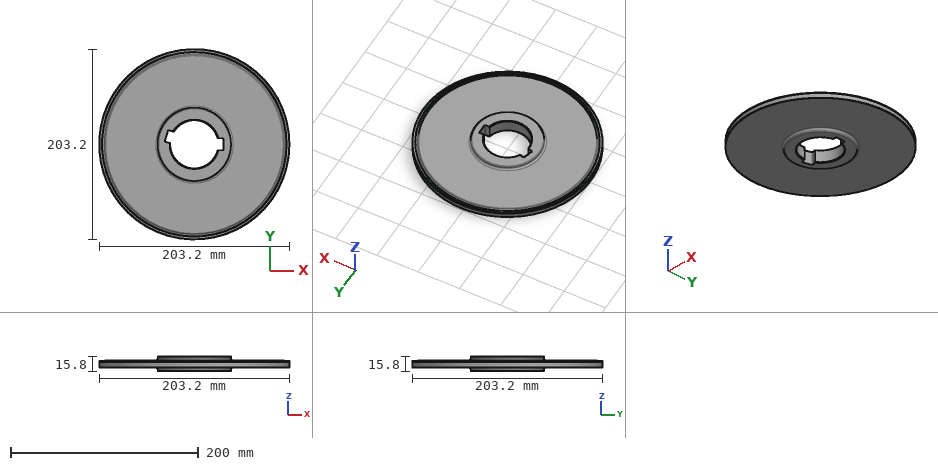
import cadquery as cq

OUTER_DIAMETER = 203.2
RAISED_FOOT_DIAMETER = 193.2
DISC_BOTTOM = -4.0
SHOULDER_HEIGHT = 1.8
FACE_HEIGHT = 3.7
FACE_COVE = 1.0
FACE_ROUND = FACE_HEIGHT - SHOULDER_HEIGHT - FACE_COVE

RIM_MOUTH_DIAMETER = 197.1
RIM_TOP = 3.0
EDGE_CHAMFER = 0.5
RIM_INNER_DIAMETER = RIM_MOUTH_DIAMETER - 2 * EDGE_CHAMFER

HUB_HEIGHT = 15.8
HUB_TOP = HUB_HEIGHT / 2
HUB_DIAMETER = 78.5
HUB_ROUND = 1.0
HUB_COVE = 2.0

BORE_DIAMETER = 51.2
BORE_CHAMFER = 0.8
KEYWAY_WIDTH = 12.5
KEYWAY_REACH = 30.9
KEYWAY_CORNER = 0.8
KEYWAY_ANGLES = (0, 163)


def cylinder(diameter, bottom, top):
    """Upright cylinder on the Z axis between two heights."""
    return cq.Workplane("XY").workplane(offset=bottom).circle(diameter / 2).extrude(top - bottom)


def arc_midpoint(center, radius, x_sign, z_sign):
    """Middle of a quarter arc lying in the given quadrant around its centre."""
    offset = radius * 0.5 ** 0.5
    return (center[0] + x_sign * offset, center[1] + z_sign * offset)


def make_blank():
    """Disc, raised face and hub revolved from one half section."""
    outer_radius = OUTER_DIAMETER / 2
    foot_radius = RAISED_FOOT_DIAMETER / 2
    wall_radius = foot_radius - FACE_COVE
    face_radius = wall_radius - FACE_ROUND
    wall_height = SHOULDER_HEIGHT + FACE_COVE
    hub_radius = HUB_DIAMETER / 2
    hub_foot = hub_radius + HUB_COVE
    hub_face = hub_radius - HUB_ROUND

    face_cove_center = (foot_radius, wall_height)
    face_round_center = (face_radius, wall_height)
    top_cove_center = (hub_foot, FACE_HEIGHT + HUB_COVE)
    top_round_center = (hub_face, HUB_TOP - HUB_ROUND)
    bottom_round_center = (hub_face, HUB_ROUND - HUB_TOP)
    bottom_cove_center = (hub_foot, DISC_BOTTOM - HUB_COVE)

    return (
        cq.Workplane("XZ")
        .moveTo(0, -HUB_TOP)
        .lineTo(hub_face, -HUB_TOP)
        .threePointArc(arc_midpoint(bottom_round_center, HUB_ROUND, 1, -1), (hub_radius, HUB_ROUND - HUB_TOP))
        .lineTo(hub_radius, DISC_BOTTOM - HUB_COVE)
        .threePointArc(arc_midpoint(bottom_cove_center, HUB_COVE, -1, 1), (hub_foot, DISC_BOTTOM))
        .lineTo(outer_radius - EDGE_CHAMFER, DISC_BOTTOM)
        .lineTo(outer_radius, DISC_BOTTOM + EDGE_CHAMFER)
        .lineTo(outer_radius, SHOULDER_HEIGHT)
        .lineTo(foot_radius, SHOULDER_HEIGHT)
        .threePointArc(arc_midpoint(face_cove_center, FACE_COVE, -1, -1), (wall_radius, wall_height))
        .threePointArc(arc_midpoint(face_round_center, FACE_ROUND, 1, 1), (face_radius, FACE_HEIGHT))
        .lineTo(hub_foot, FACE_HEIGHT)
        .threePointArc(arc_midpoint(top_cove_center, HUB_COVE, -1, -1), (hub_radius, FACE_HEIGHT + HUB_COVE))
        .lineTo(hub_radius, HUB_TOP - HUB_ROUND)
        .threePointArc(arc_midpoint(top_round_center, HUB_ROUND, 1, 1), (hub_face, HUB_TOP))
        .lineTo(0, HUB_TOP)
        .close()
        .revolve(360, (0, 0, 0), (0, 1, 0))
    )


def make_bore():
    """Bore cutter, flared by a chamfer at both ends."""
    mouth_diameter = BORE_DIAMETER + 2 * BORE_CHAMFER
    bore = cylinder(BORE_DIAMETER, -HUB_TOP, HUB_TOP)
    for end in (-1, 1):
        flare = cq.Solid.makeCone(
            mouth_diameter / 2, BORE_DIAMETER / 2, BORE_CHAMFER,
            pnt=cq.Vector(0, 0, end * HUB_TOP), dir=cq.Vector(0, 0, -end),
        )
        bore = bore.union(cq.Workplane(flare))
    return bore


def make_keyway(angle):
    """Radial slot cutter through the full hub height, with rounded outer corners."""
    cutter = cq.Workplane("XY").box(KEYWAY_REACH, KEYWAY_WIDTH, HUB_HEIGHT, centered=(False, True, True))
    cutter = cutter.edges("|Z and >X").fillet(KEYWAY_CORNER)
    return cutter.rotate((0, 0, 0), (0, 0, 1), angle)


def make_wheel():
    """Disc with its hub, bored and keyed."""
    wheel = make_blank().cut(make_bore())
    for angle in KEYWAY_ANGLES:
        wheel = wheel.cut(make_keyway(angle))
    return wheel


def make_rim():
    """Ring seated on the disc shoulder, chamfered on both top edges."""
    rim = cylinder(OUTER_DIAMETER, SHOULDER_HEIGHT, RIM_TOP)
    rim = rim.cut(cylinder(RIM_INNER_DIAMETER, SHOULDER_HEIGHT, RIM_TOP))
    return rim.faces(">Z").edges().chamfer(EDGE_CHAMFER)


wheel = make_wheel()
rim = make_rim()
result = cq.Compound.makeCompound([wheel.val(), rim.val()])